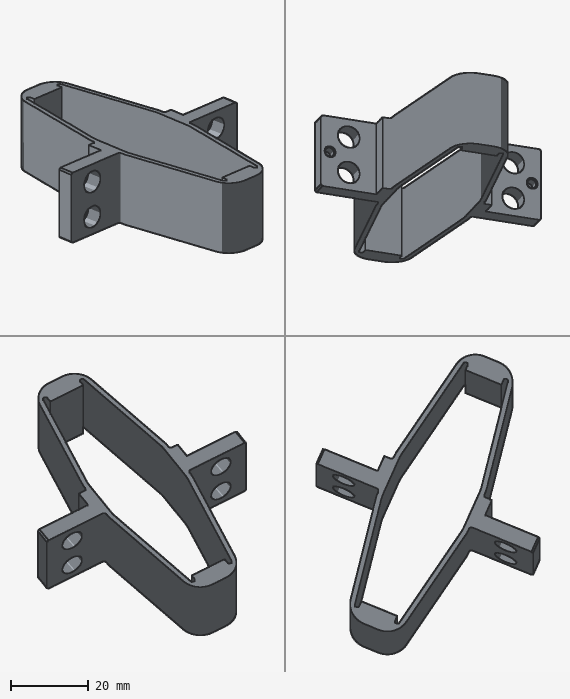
import cadquery as cq
import math

length = 78.8
width = 61.0
height = 20.0

wall = 1.4
band_half_width = 12.8
bend_x = 6.1
end_corner_y = 7.0
end_radius = 5.9
bend_radius = 11.0

block_face_x = 34.0
block_half_width = 5.05
slot_end_x = 36.0
slot_radius = 0.51

tab_thickness = 4.4
pad_tip_y = 15.1
root_radius = 0.7
tab_chamfer = 0.5

mount_hole_diameter = 6.0
mount_hole_y = 22.8
mount_hole_spacing = 10.0
screw_hole_diameter = 2.45
screw_hole_y = 28.0
screw_hole_depth = 3.0
screw_sink_diameter = 3.1
screw_tip_angle = 118.0

half_length = length / 2
half_width = width / 2
slope = (band_half_width - end_corner_y) / (half_length - bend_x)
slope_angle = math.atan(slope)
inner_half_width = band_half_width - wall
inner_bend_x = bend_x - wall * math.tan(slope_angle / 2)


def mirrored_outline(quarter):
    """Extrude the closed outline given by its +X +Y quarter, ordered from +Y to +X."""
    right = quarter + [(x, -y) for x, y in reversed(quarter)]
    left = [(-x, y) for x, y in reversed(right)]
    return cq.Workplane("XY").polyline(right + left).close().extrude(height)


def edges_at(points):
    """Select the vertical edges at the given points and their mirror images."""
    selector = None
    margin = 0.1
    for x, y in points:
        for sx in (-1, 1):
            for sy in (-1, 1):
                box = cq.selectors.BoxSelector(
                    (sx * x - margin, sy * y - margin, 0),
                    (sx * x + margin, sy * y + margin, height),
                )
                selector = box if selector is None else selector + box
    return selector


def make_band_body():
    bend = (bend_x, band_half_width)
    end_corner = (half_length, end_corner_y)
    body = mirrored_outline([bend, end_corner])
    body = body.edges(edges_at([bend])).fillet(bend_radius)
    return body.edges(edges_at([end_corner])).fillet(end_radius)


def make_cavity():
    bend = (inner_bend_x, inner_half_width)
    slot_top = (slot_end_x, inner_half_width - slope * (slot_end_x - inner_bend_x))
    slot_bottom = (slot_end_x, block_half_width)
    block_corner = (block_face_x, block_half_width)
    cavity = mirrored_outline([bend, slot_top, slot_bottom, block_corner])
    cavity = cavity.edges(edges_at([bend])).fillet(bend_radius - wall)
    return cavity.edges(edges_at([slot_top, slot_bottom])).fillet(slot_radius)


def make_tab():
    """The +Y tab with its root pad, root fillets, tip chamfers and holes."""
    tab = (
        cq.Workplane("XY")
        .moveTo(-tab_thickness - root_radius, band_half_width)
        .radiusArc((-tab_thickness, band_half_width + root_radius), -root_radius)
        .lineTo(-tab_thickness, pad_tip_y)
        .lineTo(0, pad_tip_y)
        .lineTo(0, half_width)
        .lineTo(tab_thickness, half_width)
        .lineTo(tab_thickness, band_half_width + root_radius)
        .radiusArc((tab_thickness + root_radius, band_half_width), -root_radius)
        .lineTo(tab_thickness + root_radius, inner_half_width)
        .lineTo(-tab_thickness - root_radius, inner_half_width)
        .close()
        .extrude(height)
    )
    tab = tab.faces(">Y").edges("|X").chamfer(tab_chamfer)
    mount_holes = (
        cq.Workplane("YZ", origin=(0, mount_hole_y, height / 2))
        .rarray(0.8, mount_hole_spacing, 1, 2)
        .circle(mount_hole_diameter / 2)
        .extrude(tab_thickness)
    )
    return tab.cut(mount_holes).cut(make_screw_hole())


def make_screw_hole():
    """Blind countersunk hole with a drill-point bottom, entering from the -X face."""
    radius = screw_hole_diameter / 2
    sink_radius = screw_sink_diameter / 2
    sink_depth = sink_radius - radius
    tip_depth = screw_hole_depth + radius / math.tan(math.radians(screw_tip_angle / 2))
    return (
        cq.Workplane("XY", origin=(0, screw_hole_y, height / 2))
        .polyline([
            (0, 0),
            (0, sink_radius),
            (sink_depth, radius),
            (screw_hole_depth, radius),
            (tip_depth, 0),
        ])
        .close()
        .revolve(360, (0, 0, 0), (1, 0, 0))
    )


tab = make_tab()
result = make_band_body().cut(make_cavity()).union(tab).union(tab.mirror("XZ"))
result = result.translate((0, 0, -height / 2))